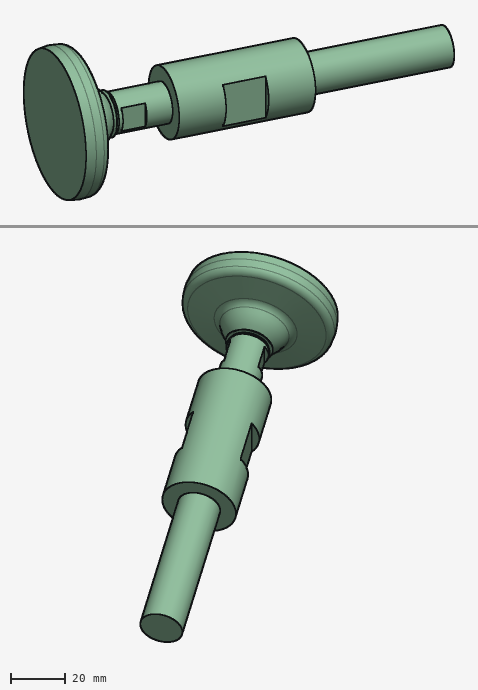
import cadquery as cq
import math


overall_length = 157
rod_diameter = 16.0
rod_start = 22.3
rod_flat_start = 23.9
rod_flat_length = 9.5
rod_across_flats = 12.9
neck_diameter = 12.2

sleeve_diameter = 28.0
sleeve_start = 43.8
sleeve_length = 54.8
sleeve_flat_length = 17.1
sleeve_across_flats = 22.1

foot_diameter = 58.0
base_diameter = 56.8
widest_height = 3.8
rim_diameter = 57.5
rim_height = 7.0
shoulder_radius = 26.2
shoulder_height = 9.7
slope_top_radius = 15.7
slope_top_height = 11.6

dome_radius = 14.0
dome_centre = 8.6
dome_start = 13.5
dome_end = 20.1
lip_radius = 9.0
lip_height = 21.0
foot_top_radius = 7.4
foot_top = 21.7


def cylinder_along_y(diameter, start, end):
    """Cylinder on the Y axis from Y = start to Y = end."""
    return cq.Workplane("XZ", origin=(0, start, 0)).circle(diameter / 2).extrude(start - end)


def cut_flats(body, diameter, across_flats, start, length):
    """Cut two parallel flats, facing -X and +X, into a round body."""
    depth = (diameter - across_flats) / 2
    for side in (-1, 1):
        cutter = cq.Workplane("XY").box(2 * depth, length, diameter)
        x = side * (across_flats / 2 + depth)
        body = body.cut(cutter.translate((x, start + length / 2, 0)))
    return body


def make_rod():
    """Round rod with wrench flats and a thinner neck standing on the foot."""
    shank = cylinder_along_y(rod_diameter, rod_start, overall_length)
    shank = cut_flats(shank, rod_diameter, rod_across_flats, rod_flat_start, rod_flat_length)
    neck = cylinder_along_y(neck_diameter, foot_top, rod_start)
    return shank.union(neck)


def make_sleeve():
    """Sleeve around the rod with wrench flats at the middle of its length."""
    sleeve_end = sleeve_start + sleeve_length
    sleeve = cylinder_along_y(sleeve_diameter, sleeve_start, sleeve_end)
    flat_start = sleeve_start + (sleeve_length - sleeve_flat_length) / 2
    sleeve = cut_flats(sleeve, sleeve_diameter, sleeve_across_flats, flat_start, sleeve_flat_length)
    return sleeve.cut(cylinder_along_y(rod_diameter, sleeve_start, sleeve_end))


def dome_point(height):
    """Point (radius, height) on the dome's sphere."""
    return (math.sqrt(dome_radius**2 - (height - dome_centre) ** 2), height)


def make_foot():
    """Disc with a rounded rim, a blended spherical dome, a lip and a collar, turned about Y."""
    profile = (
        cq.Workplane("XY")
        .lineTo(base_diameter / 2, 0)
        .lineTo(foot_diameter / 2, widest_height)
        .lineTo(rim_diameter / 2, rim_height)
        .tangentArcPoint((shoulder_radius, shoulder_height), relative=False)
        .lineTo(slope_top_radius, slope_top_height)
        .tangentArcPoint(dome_point(dome_start), relative=False)
        .threePointArc(dome_point((dome_start + dome_end) / 2), dome_point(dome_end))
        .lineTo(lip_radius, lip_height)
        .lineTo(foot_top_radius, lip_height)
        .lineTo(foot_top_radius, foot_top)
        .lineTo(0, foot_top)
        .close()
    )
    return profile.revolve(360, (0, 0, 0), (0, 1, 0))


rod = make_rod()
sleeve = make_sleeve()
foot = make_foot()

result = cq.Compound.makeCompound([rod.val(), sleeve.val(), foot.val()])